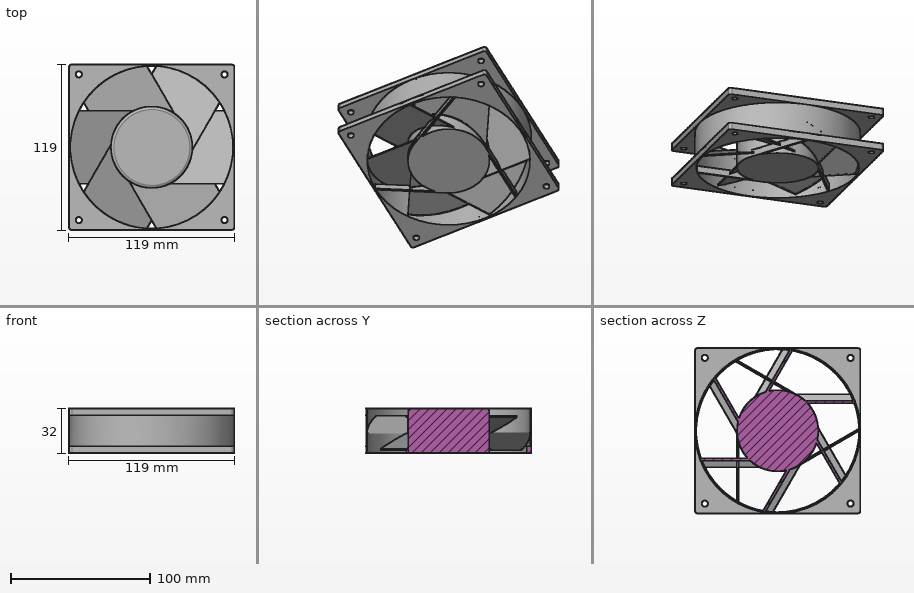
import cadquery as cq

side = 119.0
height = 32.0
flange_thickness = 5.0
corner_radius = 2.0
bore_diameter = 117.0
hole_diameter = 4.3
hole_spacing = 104.7

hub_diameter = 58.5
hub_edge_radius = 2.0

blade_count = 6
blade_half_width = 26.3
blade_top = 26.7
blade_low_edge = 3.0
blade_thickness = 1.0
root_overlap = 6.0
tip_overlap = 0.5

strut_count = 3
strut_width = 1.3
strut_height = flange_thickness
strut_angle = 30.0


def make_flange(base):
    """Square plate with rounded corners and four mounting holes."""
    return (
        cq.Workplane("XY", origin=(0, 0, base))
        .rect(side, side)
        .extrude(flange_thickness)
        .edges("|Z")
        .fillet(corner_radius)
        .faces(">Z")
        .workplane()
        .rect(hole_spacing, hole_spacing, forConstruction=True)
        .vertices()
        .hole(hole_diameter)
    )


def make_housing():
    """Thin round duct between two square flanges."""
    duct = cq.Workplane("XY").circle(side / 2).extrude(height)
    bore = cq.Workplane("XY").circle(bore_diameter / 2).extrude(height)
    upper_base = height - flange_thickness
    return duct.union(make_flange(0)).union(make_flange(upper_base)).cut(bore)


def make_hub():
    """Solid cylinder with a rounded upper rim."""
    hub = cq.Workplane("XY").circle(hub_diameter / 2).extrude(height)
    return hub.faces(">Z").edges().fillet(hub_edge_radius)


def make_blade():
    """Inclined plate along +X, trimmed round at its root and tip."""
    profile = [
        (-blade_half_width, blade_top),
        (blade_half_width, blade_low_edge),
        (blade_half_width, blade_low_edge - blade_thickness),
        (-blade_half_width, blade_top - blade_thickness),
    ]
    plate = cq.Workplane("YZ").polyline(profile).close().extrude(side / 2)
    envelope = (
        cq.Workplane("XY")
        .circle(bore_diameter / 2 + tip_overlap)
        .circle(hub_diameter / 2 - root_overlap)
        .extrude(height)
    )
    return plate.intersect(envelope)


def make_strut():
    """Bar whose outer face is tangent to the hub and whose tip meets the duct."""
    bar = (
        cq.Workplane("XY")
        .rect(side / 2, strut_width)
        .extrude(strut_height)
        .translate((side / 4, (strut_width - hub_diameter) / 2, 0))
        .rotate((0, 0, 0), (0, 0, 1), strut_angle)
    )
    envelope = cq.Workplane("XY").circle(bore_diameter / 2 + tip_overlap).extrude(height)
    return bar.intersect(envelope)


def add_around(body, feature, count):
    """Join equally spaced copies of a feature around the Z axis."""
    for index in range(count):
        body = body.union(feature.rotate((0, 0, 0), (0, 0, 1), index * 360 / count))
    return body


result = make_housing().union(make_hub())
result = add_around(result, make_blade(), blade_count)
result = add_around(result, make_strut(), strut_count)